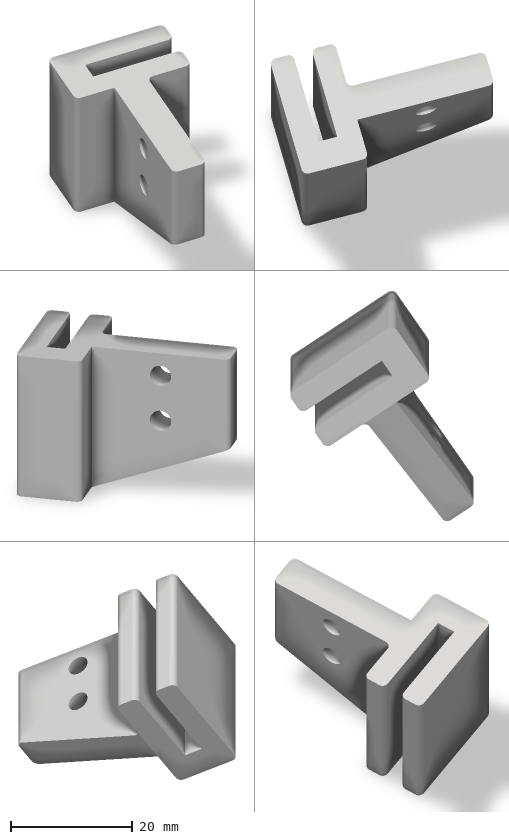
import cadquery as cq

height = 25.0
clip_depth = 21.0

outer_prong = 4.0
slot_width = 3.2
inner_prong = 4.0
clip_width = outer_prong + slot_width + inner_prong
slot_floor = 5.0
slot_depth = clip_depth - slot_floor

arm_length = 23.5
arm_thickness = 6.0
arm_front = 7.0
arm_back = arm_front + arm_thickness
arm_end = clip_width + arm_length
arm_tip_bottom = 9.0

edge_radius = 1.0
edge_reach = 0.1

hole_diameter = 3.6
hole_x = clip_width + arm_length / 2
upper_hole_z = 21.0
hole_spacing = 8.0
hole_heights = (upper_hole_z, upper_hole_z - hole_spacing)


def make_clip():
    """U-shaped block with its slot open towards +Y."""
    block = cq.Workplane("XY").box(clip_width, clip_depth, height, centered=False)
    slot = (
        cq.Workplane("XY")
        .box(slot_width, slot_depth, height, centered=False)
        .translate((outer_prong, slot_floor, 0))
    )
    return block.cut(slot)


def make_arm():
    """Plate whose underside rises from the clip to the arm tip."""
    return (
        cq.Workplane("XZ", origin=(0, arm_back, 0))
        .moveTo(clip_width, 0)
        .lineTo(arm_end, arm_tip_bottom)
        .lineTo(arm_end, height)
        .lineTo(clip_width, height)
        .close()
        .extrude(arm_thickness)
    )


def vertical_edge_at(x, y):
    """Select the vertical edge that passes through the plan position (x, y)."""
    return cq.selectors.BoxSelector(
        (x - edge_reach, y - edge_reach, 0), (x + edge_reach, y + edge_reach, height)
    )


def round_vertical_edges(body):
    """Round the outer corners, the prong tips and the back corner of the arm root."""
    corners = (
        (0, 0),
        (clip_width, 0),
        (0, clip_depth),
        (outer_prong, clip_depth),
        (outer_prong + slot_width, clip_depth),
        (clip_width, clip_depth),
        (arm_end, arm_front),
        (arm_end, arm_back),
        (clip_width, arm_back),
    )
    for x, y in corners:
        body = body.edges("|Z").edges(vertical_edge_at(x, y)).fillet(edge_radius)
    return body


def drill_holes(body):
    """Drill the screw holes through the thickness of the arm."""
    drills = (
        cq.Workplane("XZ", origin=(0, arm_back, 0))
        .pushPoints([(hole_x, z) for z in hole_heights])
        .circle(hole_diameter / 2)
        .extrude(arm_thickness)
    )
    return body.cut(drills)


result = drill_holes(round_vertical_edges(make_clip().union(make_arm())))